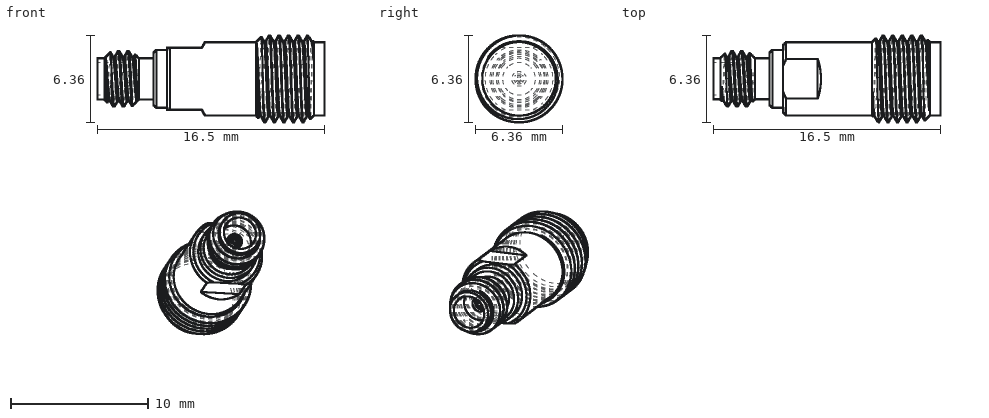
import cadquery as cq
import math

LENGTH = 16.54

NECK_RADIUS = 1.5
COLLAR_RADIUS = 2.12
COLLAR_START = 4.07
BODY_RADIUS = 2.68
BODY_START = 5.08
EDGE_CHAMFER = 0.22

PITCH = 0.7
FLANK_ANGLE = 30.0
CREST_CLEARANCE = 0.03
SMALL_THREAD_START = 0.5
SMALL_THREAD_END = 3.01
SMALL_CREST_RADIUS = 2.02
SMALL_ROOT_RADIUS = 1.62
SMALL_ROOT_FLAT = 0.15
SMALL_GROOVE_X = 1.19
LARGE_THREAD_START = 11.55
LARGE_THREAD_END = 15.76
LARGE_CREST_RADIUS = 3.18
LARGE_ROOT_RADIUS = 2.75
LARGE_ROOT_FLAT = 0.15
LARGE_GROOVE_X = 13.58

FLAT_HEIGHT = 2.27
FLAT_END = 7.6
FLAT_RUNOUT_ANGLE = 60.0

BORE_RADIUS = 1.19
BORE_DEPTH = 1.98
GAP_RADIUS = 0.53
GAP_DEPTH = 0.5
INNER_GAP_RADIUS = 0.36
INNER_GAP_DEPTH = 1.0
PIN_RADIUS = 0.25
PIN_HOLE_RADIUS = 0.15
PIN_HOLE_DEPTH = 0.83
DRILL_POINT_ANGLE = 118.0


def cylinder(radius, start, length):
    """Cylinder on the X axis, running from start towards +X."""
    return cq.Workplane("YZ").workplane(offset=start).circle(radius).extrude(length)


def stepped_body():
    """Neck, collar and main body, with chamfers on the edges that face -X."""
    neck = cylinder(NECK_RADIUS, 0, COLLAR_START)
    collar = cylinder(COLLAR_RADIUS, COLLAR_START, BODY_START - COLLAR_START)
    body = cylinder(BODY_RADIUS, BODY_START, LENGTH - BODY_START)
    collar = collar.faces("<X").chamfer(EDGE_CHAMFER)
    body = body.faces("<X").chamfer(EDGE_CHAMFER)
    return neck.union(collar).union(body)


def wrench_flat():
    """Cutter for the upper flat, with a sloped run-out at its +X end."""
    rise = LARGE_CREST_RADIUS - FLAT_HEIGHT
    runout = rise / math.tan(math.radians(FLAT_RUNOUT_ANGLE))
    return (
        cq.Workplane("XZ")
        .moveTo(BODY_START, FLAT_HEIGHT)
        .lineTo(FLAT_END, FLAT_HEIGHT)
        .lineTo(FLAT_END + runout, LARGE_CREST_RADIUS)
        .lineTo(BODY_START, LARGE_CREST_RADIUS)
        .close()
        .extrude(BODY_RADIUS, both=True)
    )


def groove_turn(outer_radius, root_radius, root_flat):
    """Cutter for one turn of thread groove, starting at X = 0 on the +Z side."""
    root_half = root_flat / 2
    outer_half = root_half + (outer_radius - root_radius) * math.tan(math.radians(FLANK_ANGLE))
    helix = cq.Wire.makeHelix(PITCH, PITCH, root_radius)
    turn = (
        cq.Workplane("XZ")
        .moveTo(root_radius, -root_half)
        .lineTo(outer_radius, -outer_half)
        .lineTo(outer_radius, outer_half)
        .lineTo(root_radius, root_half)
        .close()
        .sweep(cq.Workplane(helix), isFrenet=True)
    )
    return turn.rotate((0, 0, 0), (0, 0, 1), 180).rotate((0, 0, 0), (0, 1, 0), 90)


def thread(start, end, base_radius, crest_radius, root_radius, root_flat, groove_x):
    """Right-hand thread, with 45 degree ends; a groove centre lies at groove_x on the +Z side."""
    end_chamfer = crest_radius - base_radius
    blank = cylinder(crest_radius, start, end - start).edges().chamfer(end_chamfer)

    turns_before = math.ceil((groove_x - start) / PITCH + 0.5)
    turns_after = math.ceil((end - groove_x) / PITCH + 0.5)
    groove = groove_turn(crest_radius + CREST_CLEARANCE, root_radius, root_flat)
    for turn in range(-turns_before, turns_after):
        blank = blank.cut(groove.translate((groove_x + turn * PITCH, 0, 0)))
    return blank


def socket():
    """Cutter for the bore, the stepped gap around the pin and the drilled hole in the pin."""
    gap = cylinder(GAP_RADIUS, BORE_DEPTH, GAP_DEPTH)
    inner_gap = cylinder(INNER_GAP_RADIUS, BORE_DEPTH, INNER_GAP_DEPTH)
    pin = cylinder(PIN_RADIUS, BORE_DEPTH, INNER_GAP_DEPTH)
    pin_hole = cylinder(PIN_HOLE_RADIUS, BORE_DEPTH, PIN_HOLE_DEPTH)
    point_depth = PIN_HOLE_RADIUS / math.tan(math.radians(DRILL_POINT_ANGLE / 2))
    hole_bottom = cq.Vector(BORE_DEPTH + PIN_HOLE_DEPTH, 0, 0)
    drill_point = cq.Solid.makeCone(PIN_HOLE_RADIUS, 0, point_depth, hole_bottom, cq.Vector(1, 0, 0))
    pin_hole = pin_hole.union(cq.Workplane(drill_point))
    around_pin = gap.union(inner_gap).cut(pin)
    return cylinder(BORE_RADIUS, 0, BORE_DEPTH).union(around_pin).union(pin_hole)


upper_flat = wrench_flat()
lower_flat = upper_flat.mirror("XY")
small_thread = thread(
    SMALL_THREAD_START, SMALL_THREAD_END, NECK_RADIUS, SMALL_CREST_RADIUS,
    SMALL_ROOT_RADIUS, SMALL_ROOT_FLAT, SMALL_GROOVE_X,
)
large_thread = thread(
    LARGE_THREAD_START, LARGE_THREAD_END, BODY_RADIUS, LARGE_CREST_RADIUS,
    LARGE_ROOT_RADIUS, LARGE_ROOT_FLAT, LARGE_GROOVE_X,
)

result = (
    stepped_body()
    .cut(upper_flat)
    .cut(lower_flat)
    .union(small_thread)
    .union(large_thread)
    .cut(socket())
)